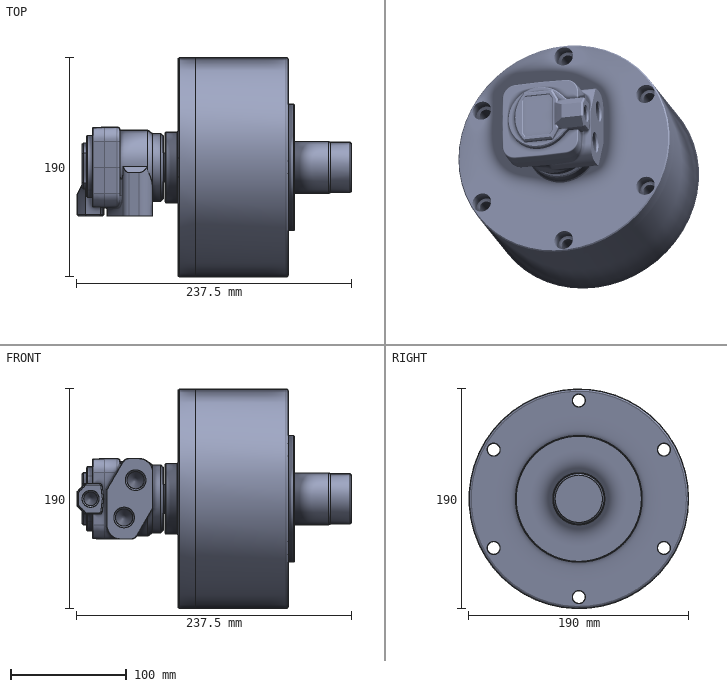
import cadquery as cq
import math


drum_radius = 95.0
cover_thickness = 15.0
cover_edge_chamfer = 1.0
drum_end = 95.2
drum_edge_fillet = 2.0
boss_radius = 54.9
boss_end = 100.5
boss_edge_chamfer = 0.7
shaft_radius = 22.5
shaft_nose_radius = 21.8
shaft_step_start = 130.2
shaft_step_length = 1.5
shaft_end = 150.0
shaft_end_chamfer = 1.5

mounting_hole_count = 6
mounting_circle_radius = 85.0
mounting_hole_diameter = 11.0
counterbore_diameter = 16.6
counterbore_depth = 12.4

collar_length = 11.5
collar_radius = 30.6
collar_chamfer = 1.0
collar_flare = 1.0
stem_radius = 12.5
union_end = -12.8

barrel_radius = 32.3
barrel_end = -26.4
neck_start = -22.3
neck_radius = 29.5
neck_chamfer = 2.4

flange_half = 35.0
flange_crown = 0.7
flange_corner_radius = 12.0
flange_left = -74.0
flange_draft_start = -63.6
flange_right = -50.4
flange_draft_angle = 3
flange_block_fillet = 1.2
flange_left_fillet = 1.0
flange_right_fillet = 2.4

disc_left = -79.3
disc_radius = 27.8
disc_chamfer = 1.0
pad_left = -83.4
pad_half_height = 22.5
pad_arc_radius = 33.5
pad_arc_center_y = -12.4
pad_corner_y = -13.3
pad_tip_y = -18.5
pad_chamfer = 1.5
recess_half_width = 13.8
recess_half_height = 19.0
recess_corner_y = 2.5
recess_corner_z = 3.8
recess_depth = 0.7

port_face_y = -42.0
elbow_left = -87.5
elbow_right = -65.8
elbow_crown = 1.5
elbow_half_height = 13.3
elbow_bevel = 7.1
elbow_slope_start_y = -15.5
elbow_slope_end_y = -23.3
elbow_corner_cut = 1.5
elbow_edge_chamfer = 1.2
elbow_port_x = -75.8
elbow_port_diameter = 11.9
block_center_x = -41.8
block_half_width = 19.7
block_large_radius = 11.9
block_small_radius = 6.0
block_shoulder_z = 8.0
block_diagonal_angle = 60
block_end_y = 1.5
block_bevel_length = 6.0
block_bevel_drop = 2.8
block_port_offset_x = 5.0
block_port_offset_z = 16.2
block_port_diameter = 15.0
port_depth = 21.4
port_chamfer = 1.5
drill_point_angle = 118


def turned(points):
    """Solid of revolution about the X axis from (x, radius) points."""
    return cq.Workplane("XY").polyline(points).close().revolve(360, (0, 0, 0), (1, 0, 0))


def across_x(x):
    """Sketch plane facing +X at the given x, with Y and Z as its axes."""
    return cq.Workplane("YZ", origin=(x, 0, 0))


def cylinders_at_mounting_holes(x, diameter, length):
    return (
        across_x(x)
        .polarArray(mounting_circle_radius, 90, 360, mounting_hole_count)
        .circle(diameter / 2)
        .extrude(length)
    )


def make_cover():
    cover = across_x(0).circle(drum_radius).extrude(cover_thickness)
    cover = cover.faces("<X").chamfer(cover_edge_chamfer)
    cover = cover.cut(cylinders_at_mounting_holes(0, mounting_hole_diameter, cover_thickness))
    return cover.cut(cylinders_at_mounting_holes(0, counterbore_diameter, counterbore_depth))


def make_drum():
    length = drum_end - cover_thickness
    drum = across_x(cover_thickness).circle(drum_radius).extrude(length)
    drum = drum.faces(">X").edges().fillet(drum_edge_fillet)
    boss = across_x(drum_end).circle(boss_radius).extrude(boss_end - drum_end)
    boss = boss.faces(">X").chamfer(boss_edge_chamfer)
    holes = cylinders_at_mounting_holes(cover_thickness, mounting_hole_diameter, length)
    return drum.union(boss).cut(holes)


def make_shaft():
    return turned([
        (boss_end, 0),
        (boss_end, shaft_radius),
        (shaft_step_start, shaft_radius),
        (shaft_step_start + shaft_step_length, shaft_nose_radius),
        (shaft_end - shaft_end_chamfer, shaft_nose_radius),
        (shaft_end, shaft_nose_radius - shaft_end_chamfer),
        (shaft_end, 0),
    ])


def make_rotor():
    return turned([
        (union_end, 0),
        (union_end, stem_radius),
        (-collar_length, stem_radius),
        (-collar_length, collar_radius - collar_chamfer),
        (-collar_length + collar_chamfer, collar_radius),
        (-collar_flare, collar_radius),
        (0, collar_radius + collar_flare),
        (0, 0),
    ])


def make_barrel():
    return turned([
        (flange_right - flange_right_fillet, 0),
        (flange_right - flange_right_fillet, barrel_radius),
        (barrel_end, barrel_radius),
        (neck_start, neck_radius),
        (union_end - neck_chamfer, neck_radius),
        (union_end, neck_radius - neck_chamfer),
        (union_end, 0),
    ])


def flange_outline():
    """Rounded square whose sides rise slightly from the corners to the middle."""
    corner = flange_half - flange_crown
    outline = cq.Sketch().polygon([
        (-corner, -corner),
        (0, -flange_half),
        (corner, -corner),
        (flange_half, 0),
        (corner, corner),
        (0, flange_half),
        (-corner, corner),
        (-flange_half, 0),
        (-corner, -corner),
    ])
    corners = outline.vertices(">(1,1,0) or >(-1,1,0) or >(1,-1,0) or >(-1,-1,0)")
    return corners.fillet(flange_corner_radius).reset()


def make_flange():
    outline = flange_outline()
    straight = across_x(flange_draft_start).placeSketch(outline)
    straight = straight.extrude(flange_right - flange_draft_start)
    straight = straight.faces(">X").edges().fillet(flange_right_fillet)
    drafted = across_x(flange_draft_start).placeSketch(outline)
    drafted = drafted.extrude(flange_left - flange_draft_start, taper=flange_draft_angle)
    drafted = drafted.faces("<X").edges().fillet(flange_left_fillet)
    return straight.union(drafted)


def make_disc():
    """Round disc whose 45 degree tangents run into the elbow on the -Y side."""
    tangent = disc_radius * math.sqrt(0.5)
    tip_y = elbow_half_height - 2 * tangent
    disc = (
        across_x(disc_left)
        .moveTo(tip_y, -elbow_half_height)
        .lineTo(-tangent, -tangent)
        .threePointArc((disc_radius, 0), (-tangent, tangent))
        .lineTo(tip_y, elbow_half_height)
        .close()
        .extrude(flange_left - disc_left)
    )
    return disc.faces("<X").chamfer(disc_chamfer)


def make_pad():
    """Flat-topped pad on the disc with a large arc on its +Y side."""
    arc_rise = math.sqrt(pad_arc_radius**2 - pad_half_height**2)
    arc_end_y = pad_arc_center_y + arc_rise
    pad = (
        across_x(pad_left)
        .moveTo(pad_corner_y, -pad_half_height)
        .lineTo(arc_end_y, -pad_half_height)
        .threePointArc((pad_arc_center_y + pad_arc_radius, 0), (arc_end_y, pad_half_height))
        .lineTo(pad_corner_y, pad_half_height)
        .lineTo(pad_tip_y, elbow_half_height)
        .lineTo(pad_tip_y, -elbow_half_height)
        .close()
        .extrude(disc_left - pad_left)
    )
    return pad.faces("<X").chamfer(pad_chamfer)


def make_recess():
    """Shallow rectangular recess with cut corners and 45 degree walls."""
    inner_y = recess_half_width - recess_corner_y
    inner_z = recess_half_height - recess_corner_z
    return (
        across_x(pad_left)
        .polyline([
            (-inner_y, -recess_half_height),
            (inner_y, -recess_half_height),
            (recess_half_width, -inner_z),
            (recess_half_width, inner_z),
            (inner_y, recess_half_height),
            (-inner_y, recess_half_height),
            (-recess_half_width, inner_z),
            (-recess_half_width, -inner_z),
        ])
        .close()
        .extrude(recess_depth, taper=45)
    )


def make_elbow():
    bevel_z = elbow_half_height - elbow_bevel
    section = (
        cq.Workplane("XZ", origin=(0, port_face_y, 0))
        .polyline([
            (elbow_right - elbow_corner_cut, -elbow_half_height),
            (elbow_right, -elbow_half_height + elbow_corner_cut),
            (elbow_right + elbow_crown, 0),
            (elbow_right, elbow_half_height - elbow_corner_cut),
            (elbow_right - elbow_corner_cut, elbow_half_height),
            (elbow_left + elbow_bevel, elbow_half_height),
            (elbow_left, bevel_z),
            (elbow_left, -bevel_z),
            (elbow_left + elbow_bevel, -elbow_half_height),
        ])
        .close()
        .extrude(port_face_y - elbow_slope_start_y)
    )
    section = section.faces("<Y").chamfer(elbow_edge_chamfer)
    slope = (
        cq.Workplane("XY")
        .polyline([
            (pad_left, elbow_slope_start_y),
            (elbow_left, elbow_slope_end_y),
            (elbow_left, elbow_slope_start_y),
        ])
        .close()
        .extrude(elbow_half_height, both=True)
    )
    return section.cut(slope)


def make_block():
    """Port block: a half-turn symmetric outline, bevelled where it meets the barrel."""
    diagonal_run = (flange_half - block_shoulder_z) / math.tan(math.radians(block_diagonal_angle))
    corner_x = block_half_width - diagonal_run
    outline = (
        cq.Workplane("XZ", origin=(block_center_x, port_face_y, 0))
        .polyline([
            (-block_half_width, -flange_half),
            (corner_x, -flange_half),
            (block_half_width, -block_shoulder_z),
            (block_half_width, flange_half),
            (-corner_x, flange_half),
            (-block_half_width, block_shoulder_z),
        ])
        .close()
        .extrude(port_face_y - block_end_y)
    )
    half_width = block_half_width
    for x, z, radius in [
        (half_width, flange_half, block_large_radius),
        (-corner_x, flange_half, block_small_radius),
    ]:
        for turn in (1, -1):
            corner = (block_center_x + turn * x, (port_face_y + block_end_y) / 2, turn * z)
            outline = outline.edges(cq.NearestToPointSelector(corner)).fillet(radius)
    bevel_y = block_end_y - block_bevel_length
    bevel_z = flange_half - block_bevel_drop
    side_profile = (
        across_x(block_center_x)
        .polyline([
            (port_face_y, -flange_half),
            (bevel_y, -flange_half),
            (block_end_y, -bevel_z),
            (block_end_y, bevel_z),
            (bevel_y, flange_half),
            (port_face_y, flange_half),
        ])
        .close()
        .extrude(block_half_width, both=True)
    )
    return outline.intersect(side_profile)


def make_port(x, z, diameter):
    """Drilled port entering from the -Y face, with a countersunk mouth and a conical bottom."""
    radius = diameter / 2
    point_depth = port_depth + radius / math.tan(math.radians(drill_point_angle / 2))
    return (
        cq.Workplane("XY", origin=(x, port_face_y, z))
        .polyline([
            (0, 0),
            (radius + port_chamfer, 0),
            (radius, port_chamfer),
            (radius, port_depth),
            (0, point_depth),
        ])
        .close()
        .revolve(360, (0, 0, 0), (0, 1, 0))
    )


def make_union_housing():
    housing = make_barrel()
    for feature in (make_flange(), make_disc(), make_pad(), make_elbow(), make_block()):
        housing = housing.union(feature)
    root_y = -flange_half
    block_left = block_center_x - block_half_width
    root_edges = cq.selectors.BoxSelector(
        (block_left - 0.2, root_y - 0.2, -21.4), (flange_right, root_y + 0.7, 21.4)
    )
    housing = housing.edges(root_edges).edges("not |X").fillet(flange_block_fillet)
    housing = housing.cut(make_recess())
    housing = housing.cut(make_port(elbow_port_x, 0, elbow_port_diameter))
    for turn in (1, -1):
        port_x = block_center_x + turn * block_port_offset_x
        port_z = turn * block_port_offset_z
        housing = housing.cut(make_port(port_x, port_z, block_port_diameter))
    return housing


cover = make_cover()
drum = make_drum()
shaft = make_shaft()
rotor = make_rotor()
union_housing = make_union_housing()

result = cq.Compound.makeCompound([
    cover.val(),
    drum.val(),
    shaft.val(),
    rotor.val(),
    union_housing.val(),
])